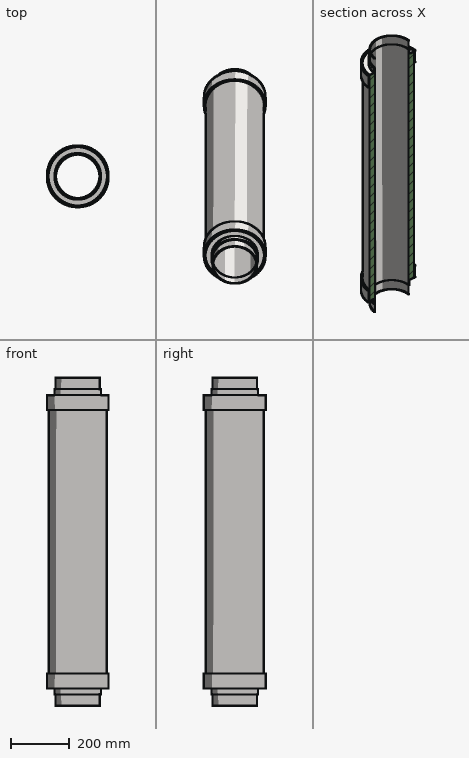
import cadquery as cq

length = 1120.0
jacket_radius = 100.0
collar_radius = 80.0
spigot_radius = 76.0
spigot_length = 39.0
collar_length = 20.0
spigot_wall = 2.0
shoulder_height = spigot_length + collar_length

bore_radius = spigot_radius - spigot_wall

band_radius = 105.8
band_length = 52.0


def cylinder(radius, start):
    """Cylinder on the Z axis that stops the same distance `start` short of both ends."""
    return cq.Workplane("XY").workplane(offset=start).circle(radius).extrude(length - 2 * start)


def make_tube():
    """Jacket, collars and spigots as one hollow body."""
    outside = (
        cylinder(spigot_radius, 0)
        .union(cylinder(collar_radius, spigot_length))
        .union(cylinder(jacket_radius, shoulder_height))
    )
    return outside.cut(cylinder(bore_radius, 0))


def make_band(start):
    """Band fitted closely around one end of the jacket, rising from the height `start`."""
    return (
        cq.Workplane("XY")
        .workplane(offset=start)
        .circle(band_radius)
        .circle(jacket_radius)
        .extrude(band_length)
    )


tube = make_tube()
band_starts = (shoulder_height, length - shoulder_height - band_length)
bands = [make_band(start).val() for start in band_starts]

result = cq.Compound.makeCompound([tube.val(), *bands])